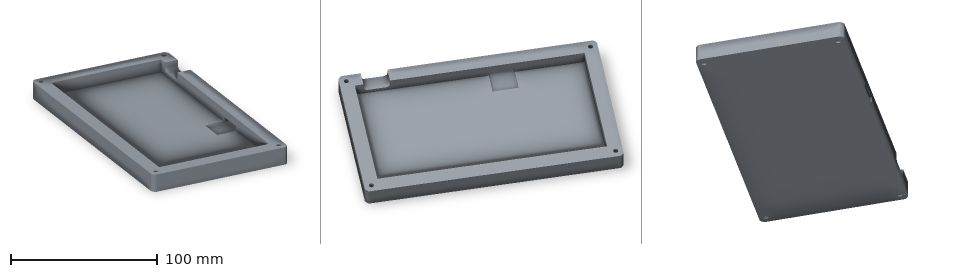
import cadquery as cq

LENGTH = 179.5
WIDTH = 104.5
HEIGHT = 13.0
CORNER_CHAMFER = 2.2
CORNER_BLEND_RADIUS = 2.0

WALL = 10.0
POCKET_DEPTH = 9.5
FLOOR_Z = HEIGHT - POCKET_DEPTH

HOLE_DIAMETER = 3.5
HOLE_INSET = WALL / 2

NOTCH_START = 16.0
NOTCH_WIDTH = 18.5
NOTCH_DEPTH = 6.5
NOTCH_RADIUS = 6.0 / 2

PORT_START = 103.0
PORT_WIDTH = 18
PORT_REACH = 14.4
PORT_RISE = 3.6
PORT_SINK = 1.5
PORT_RADIUS = 1.3

POCKET_BACK_Y = WIDTH - WALL


def block(x_range, y_range, z_range):
    """Box spanning the given lower and upper limits on each axis."""
    (x0, x1), (y0, y1), (z0, z1) = x_range, y_range, z_range
    return cq.Workplane("XY").box(x1 - x0, y1 - y0, z1 - z0, centered=False).translate((x0, y0, z0))


def tray():
    """Open tray whose corners are chamfered, with the chamfer edges blended into the sides."""
    body = block((0, LENGTH), (0, WIDTH), (0, HEIGHT))
    body = body.edges("|Z").chamfer(CORNER_CHAMFER).edges("|Z").fillet(CORNER_BLEND_RADIUS)
    pocket = block((WALL, LENGTH - WALL), (WALL, POCKET_BACK_Y), (FLOOR_Z, HEIGHT))
    return body.cut(pocket)


def screw_holes():
    x_places = (HOLE_INSET, LENGTH - HOLE_INSET)
    y_places = (HOLE_INSET, WIDTH - HOLE_INSET)
    centers = [(x, y) for x in x_places for y in y_places]
    return cq.Workplane("XY").pushPoints(centers).circle(HOLE_DIAMETER / 2).extrude(HEIGHT)


def wall_notch():
    """Notch with rounded lower corners running through the back wall."""
    x_range = (NOTCH_START, NOTCH_START + NOTCH_WIDTH)
    notch = block(x_range, (POCKET_BACK_Y, WIDTH), (HEIGHT - NOTCH_DEPTH, HEIGHT))
    return notch.edges("|Y and <Z").fillet(NOTCH_RADIUS)


def connector_port():
    """Port with rounded lower edges on every side except the open back end."""
    port = block(
        (PORT_START, PORT_START + PORT_WIDTH),
        (POCKET_BACK_Y - PORT_REACH, WIDTH),
        (FLOOR_Z - PORT_SINK, FLOOR_Z + PORT_RISE),
    )
    return port.faces("<Z").edges("|Y or <Y").fillet(PORT_RADIUS)


result = (
    tray()
    .cut(screw_holes())
    .cut(wall_notch())
    .cut(connector_port())
    .translate((-LENGTH / 2, -WIDTH / 2, 0))
)